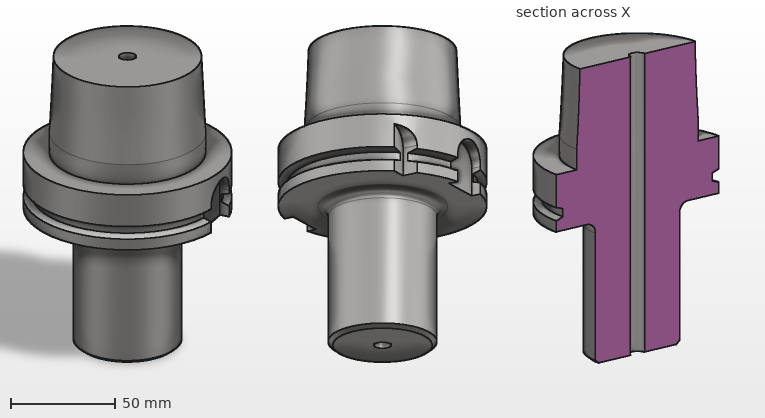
import cadquery as cq

total_height = 150.0
shank_chamfer_height = 1.8
flange_bottom = 70.8
lower_rim_top = 76.5
groove_bottom = 77.8
groove_top = 81.8
upper_rim_bottom = 83.1
flange_top = 99.8
neck_top = 110.1

shank_radius = 26.1
shank_chamfer_width = 2.2
root_fillet_radius = 5.0
flange_diameter = 100.0
flange_radius = flange_diameter / 2
groove_radius = 46.0
neck_radius = 37.5
nose_radius = 35.5
bore_radius = 4.2

slot_arch_top = 95.1
slot_radius = 10.2
drive_slot_floor = 44.1
slot_arch_center = slot_arch_top - slot_radius
notch_floor = 31.2
notch_inner_edge = 31.2
notch_center_y = notch_inner_edge + slot_radius


def turned_body():
    """Shank, grooved flange, neck and tapered nose in one revolution about Z."""
    fillet_start = flange_bottom - root_fillet_radius
    fillet_end_radius = shank_radius + root_fillet_radius
    profile = (
        cq.Workplane("XZ")
        .moveTo(bore_radius, 0)
        .lineTo(shank_radius - shank_chamfer_width, 0)
        .lineTo(shank_radius, shank_chamfer_height)
        .lineTo(shank_radius, fillet_start)
        .radiusArc((fillet_end_radius, flange_bottom), root_fillet_radius)
        .lineTo(flange_radius, flange_bottom)
        .lineTo(flange_radius, lower_rim_top)
        .lineTo(groove_radius, groove_bottom)
        .lineTo(groove_radius, groove_top)
        .lineTo(flange_radius, upper_rim_bottom)
        .lineTo(flange_radius, flange_top)
        .lineTo(neck_radius, flange_top)
        .lineTo(neck_radius, neck_top)
        .lineTo(nose_radius, total_height)
        .lineTo(bore_radius, total_height)
        .close()
    )
    return profile.revolve(360, (0, 0, 0), (0, 1, 0))


def slot_cutter(side, floor, center_y):
    """Round-topped slot from its flat floor out past the flange on the given X side."""
    return (
        cq.Workplane("YZ", origin=(side * floor, 0, 0))
        .moveTo(center_y - slot_radius, flange_bottom)
        .lineTo(center_y + slot_radius, flange_bottom)
        .lineTo(center_y + slot_radius, slot_arch_center)
        .threePointArc(
            (center_y, slot_arch_center + slot_radius),
            (center_y - slot_radius, slot_arch_center),
        )
        .close()
        .extrude(side * flange_radius)
    )


result = turned_body()

for side in (-1, 1):
    result = result.cut(slot_cutter(side, drive_slot_floor, 0))

result = result.cut(slot_cutter(-1, notch_floor, notch_center_y))